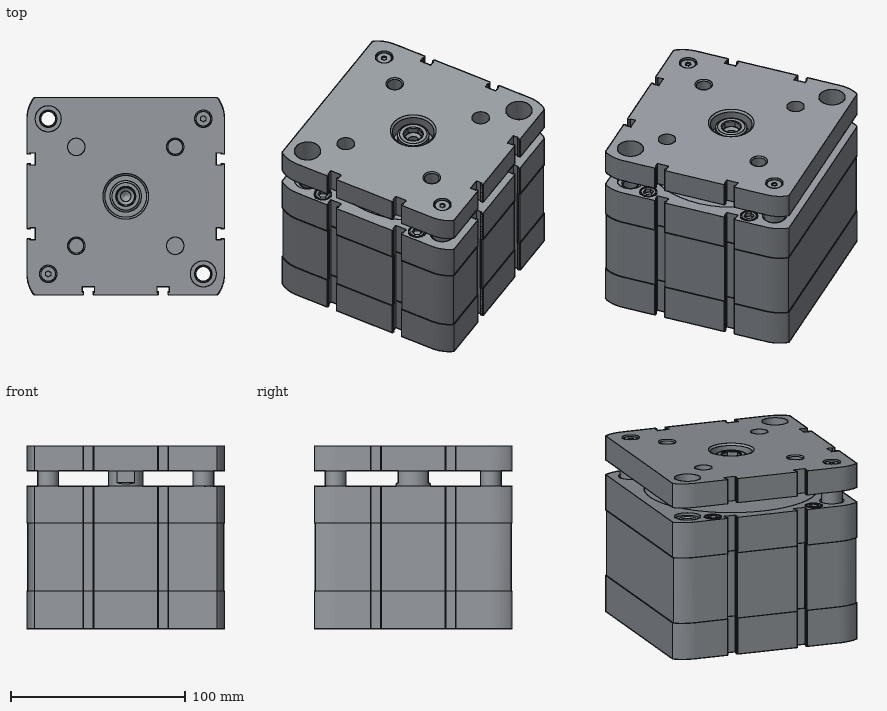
import cadquery as cq
import math


hex_half_turn = 30
hex_flat_ratio = math.cos(math.radians(hex_half_turn))

bottom_cap_top = 21.6
barrel_top = 60.6
housing_top = 81.8
plate_bottom = 90.6
plate_top = 105.0

cap_size = 113.5
barrel_size = 112.6
corner_start = 44.5
corner_radius = 20.7
corner_arc_end = 55.5
corner_chamfer_x = 52.4

slot_offset = 21.5
slot_mouth_width = 5.5
slot_inner_width = 6.8
slot_chamfer = 0.5
slot_lip = 1.6
slot_depth = 4.8

corner_spacing = 44.5
guide_rod_dia = 12.0
guide_bore_mouth_dia = 14.0
access_hole_dia = 15.0
mount_hole_dia = 8.4
mount_chamfer_dia = 10.0
mount_recess_dia = 15.0
mount_recess_depth = 1.6

piston_rod_dia = 20.0
wrench_flat_width = 17.3
wrench_flat_bottom = 83.9
wrench_flat_runout = 0.8
rod_end_dia = 18.0
rod_end_top_dia = 15.8
rod_end_top = 102.4
rod_end_chamfer_height = 0.7
hex_across_flats = 10.0
hex_mouth_chamfer = 0.5
hex_depth = 3.7
centre_hole_dia = 6.0
centre_hole_depth = 9.1
drill_half_angle = math.radians(59)

plate_recess_dia = 24.0
plate_recess_depth = 9.6
plate_recess_chamfer = 1.1
plate_hole_spacing = 28.4
plate_hole_dia = 10.0
threaded_hole_dia = 8.5
rod_screw_drop = 0.8
rod_screw_socket = 3.0
rod_screw_socket_depth = 0.9

cover_recess_dia = 100.0
cover_recess_depth = 1.0
cap_screw_x = 50.2
cap_screw_y = 31.1
cap_screw_socket = 5.0
cap_screw_socket_depth = 2.3

screw_head_dia = 10.0
screw_head_top_dia = 8.4


def cylinder(x, y, dia, bottom, top):
    return cq.Workplane("XY", origin=(x, y, bottom)).circle(dia / 2).extrude(top - bottom)


def cone(x, y, bottom_dia, top_dia, bottom, top):
    solid = cq.Solid.makeCone(bottom_dia / 2, top_dia / 2, top - bottom, pnt=cq.Vector(x, y, bottom))
    return cq.Workplane(obj=solid)


def hexagon(x, y, across_flats, bottom, top):
    across_corners = across_flats / hex_flat_ratio
    return cq.Workplane("XY", origin=(x, y, bottom)).polygon(6, across_corners).extrude(top - bottom)


def screw_head_groove(x, y, head_top):
    """Ring left open by the 45-degree chamfer around a screw head."""
    chamfer = (screw_head_dia - screw_head_top_dia) / 2
    recess = cylinder(x, y, screw_head_dia, head_top - chamfer, head_top)
    return recess.cut(cone(x, y, screw_head_dia, screw_head_top_dia, head_top - chamfer, head_top))


def outlined_block(size, bottom, top):
    """Square block with arc-and-chamfer corners and T-slots in the -X, +X and -Y sides."""
    half = size / 2
    arc_rise = corner_arc_end - corner_start
    arc_angle = math.asin(arc_rise / corner_radius)
    arc_end_x = half - corner_radius * (1 - math.cos(arc_angle))
    arc_mid_x = half - corner_radius * (1 - math.cos(arc_angle / 2))
    arc_mid_y = corner_start + corner_radius * math.sin(arc_angle / 2)
    right_half = (
        cq.Workplane("XY", origin=(0, 0, bottom))
        .moveTo(0, -half)
        .lineTo(corner_chamfer_x, -half)
        .lineTo(arc_end_x, -corner_arc_end)
        .threePointArc((arc_mid_x, -arc_mid_y), (half, -corner_start))
        .lineTo(half, corner_start)
        .threePointArc((arc_mid_x, arc_mid_y), (arc_end_x, corner_arc_end))
        .lineTo(corner_chamfer_x, half)
        .lineTo(0, half)
        .close()
        .extrude(top - bottom)
    )
    block = right_half.union(right_half.mirror("YZ"))
    for side_angle in (-90, 0, 90):
        for offset in (-slot_offset, slot_offset):
            slot = t_slot(half, offset, bottom, top)
            block = block.cut(slot.rotate((0, 0, 0), (0, 0, 1), side_angle))
    return block


def t_slot(half, offset, bottom, top):
    """T-slot cutter for the -Y side, with its middle at X = offset."""
    height = top - bottom
    neck = cq.Workplane("XY", origin=(offset, -half + slot_depth / 2, bottom))
    neck = neck.rect(slot_mouth_width, slot_depth).extrude(height)
    mouth = (
        cq.Workplane("XY", origin=(offset, -half, bottom))
        .moveTo(-slot_mouth_width / 2 - slot_chamfer, 0)
        .lineTo(slot_mouth_width / 2 + slot_chamfer, 0)
        .lineTo(slot_mouth_width / 2, slot_chamfer)
        .lineTo(-slot_mouth_width / 2, slot_chamfer)
        .close()
        .extrude(height)
    )
    head_depth = slot_depth - slot_lip
    head = cq.Workplane("XY", origin=(offset, -half + slot_lip + head_depth / 2, bottom))
    return neck.union(mouth).union(head.rect(slot_inner_width, head_depth).extrude(height))


rod_places = [(side * corner_spacing, side * corner_spacing) for side in (-1, 1)]
mount_places = [(side * corner_spacing, -side * corner_spacing) for side in (-1, 1)]
plain_hole_places = [(side * plate_hole_spacing, -side * plate_hole_spacing) for side in (-1, 1)]
threaded_hole_places = [(side * plate_hole_spacing, side * plate_hole_spacing) for side in (-1, 1)]
cap_screw_places = [(x, y) for x in (-cap_screw_x, cap_screw_x) for y in (-cap_screw_y, cap_screw_y)]


def cut_mounting_hole(body, x, y):
    """Through hole with a 45-degree mouth in the floor of a shallow round recess."""
    floor = housing_top - mount_recess_depth
    chamfer = (mount_chamfer_dia - mount_hole_dia) / 2
    body = body.cut(cylinder(x, y, mount_recess_dia, floor, housing_top))
    body = body.cut(cone(x, y, mount_hole_dia, mount_chamfer_dia, floor - chamfer, floor))
    return body.cut(cylinder(x, y, mount_hole_dia, 0, housing_top))


def make_housing():
    """Two end caps and a slightly smaller barrel, with bores for the three rods."""
    body = outlined_block(cap_size, 0, bottom_cap_top)
    body = body.union(outlined_block(barrel_size, bottom_cap_top, barrel_top))
    body = body.union(outlined_block(cap_size, barrel_top, housing_top))
    body = body.cut(cylinder(0, 0, cover_recess_dia, housing_top - cover_recess_depth, housing_top))
    body = body.cut(cylinder(0, 0, piston_rod_dia, bottom_cap_top, housing_top))
    chamfer_bottom = housing_top - (guide_bore_mouth_dia - guide_rod_dia) / 2
    for x, y in rod_places:
        body = body.cut(cylinder(x, y, guide_rod_dia, bottom_cap_top, housing_top))
        body = body.cut(cone(x, y, guide_rod_dia, guide_bore_mouth_dia, chamfer_bottom, housing_top))
    for x, y in mount_places:
        body = cut_mounting_hole(body, x, y)
    for x, y in cap_screw_places:
        body = body.cut(screw_head_groove(x, y, housing_top))
        socket_bottom = housing_top - cap_screw_socket_depth
        body = body.cut(hexagon(x, y, cap_screw_socket, socket_bottom, housing_top))
    return body


def make_front_plate():
    plate = outlined_block(cap_size, plate_bottom, plate_top)
    recess = cylinder(0, 0, plate_recess_dia, plate_top - plate_recess_depth, plate_top)
    mouth_dia = plate_recess_dia + 2 * plate_recess_chamfer
    mouth = cone(0, 0, plate_recess_dia, mouth_dia, plate_top - plate_recess_chamfer, plate_top)
    plate = plate.cut(recess).cut(mouth)
    for x, y in mount_places:
        plate = plate.cut(cylinder(x, y, access_hole_dia, plate_bottom, plate_top))
    for x, y in plain_hole_places:
        plate = plate.cut(cylinder(x, y, plate_hole_dia, plate_bottom, plate_top))
    chamfer = (plate_hole_dia - threaded_hole_dia) / 2
    for x, y in threaded_hole_places:
        plate = plate.cut(cylinder(x, y, threaded_hole_dia, plate_bottom, plate_top))
        plate = plate.cut(cone(x, y, threaded_hole_dia, plate_hole_dia, plate_top - chamfer, plate_top))
    return plate


def cut_rod_screw(plate, x, y):
    """Counterbore with a chamfered screw head at its floor, one flat of its socket facing -X."""
    head_top = plate_top - rod_screw_drop
    plate = plate.cut(cylinder(x, y, screw_head_dia, head_top, plate_top))
    plate = plate.cut(screw_head_groove(x, y, head_top))
    socket = hexagon(x, y, rod_screw_socket, head_top - rod_screw_socket_depth, head_top)
    return plate.cut(socket.rotate((x, y, 0), (x, y, 1), hex_half_turn))


def make_piston_rod():
    """Rod with two wrench flats and a narrower end that passes into the front plate."""
    rod = cylinder(0, 0, piston_rod_dia, bottom_cap_top, plate_bottom)
    chamfer_start = rod_end_top - rod_end_chamfer_height
    rod = rod.union(cylinder(0, 0, rod_end_dia, plate_bottom, chamfer_start))
    rod = rod.union(cone(0, 0, rod_end_dia, rod_end_top_dia, chamfer_start, rod_end_top))
    for side in (-1, 1):
        flat = (
            cq.Workplane("YZ", origin=(-piston_rod_dia / 2, 0, 0))
            .moveTo(side * wrench_flat_width / 2, plate_bottom)
            .lineTo(side * wrench_flat_width / 2, wrench_flat_bottom)
            .lineTo(side * piston_rod_dia / 2, wrench_flat_bottom - wrench_flat_runout)
            .lineTo(side * piston_rod_dia / 2, plate_bottom)
            .close()
            .extrude(piston_rod_dia)
        )
        rod = rod.cut(flat)
    return rod


def cut_rod_socket(body):
    """Hexagon socket with a conical floor that leads into a drilled centre hole."""
    socket_floor = rod_end_top - hex_depth
    cone_bottom = socket_floor - (hex_across_flats - centre_hole_dia) / 2 / math.tan(drill_half_angle)
    hole_bottom = rod_end_top - centre_hole_depth
    drill_tip = hole_bottom - centre_hole_dia / 2 / math.tan(drill_half_angle)
    hex_mouth_dia = hex_across_flats / hex_flat_ratio
    mouth_bottom = rod_end_top - hex_mouth_chamfer
    body = body.cut(cone(0, 0, hex_across_flats, hex_mouth_dia, mouth_bottom, rod_end_top))
    body = body.cut(hexagon(0, 0, hex_across_flats, socket_floor, rod_end_top))
    body = body.cut(cone(0, 0, centre_hole_dia, hex_across_flats, cone_bottom, socket_floor))
    body = body.cut(cylinder(0, 0, centre_hole_dia, hole_bottom, rod_end_top))
    return body.cut(cone(0, 0, 0, centre_hole_dia, drill_tip, hole_bottom))


def make_moving_unit():
    """Front plate in one piece with the piston rod and the two guide rods."""
    unit = make_front_plate().union(make_piston_rod())
    for x, y in rod_places:
        unit = unit.union(cylinder(x, y, guide_rod_dia, bottom_cap_top, plate_bottom))
        unit = cut_rod_screw(unit, x, y)
    return cut_rod_socket(unit)


housing = make_housing()
moving_unit = make_moving_unit()

result = cq.Compound.makeCompound([housing.val(), moving_unit.val()])